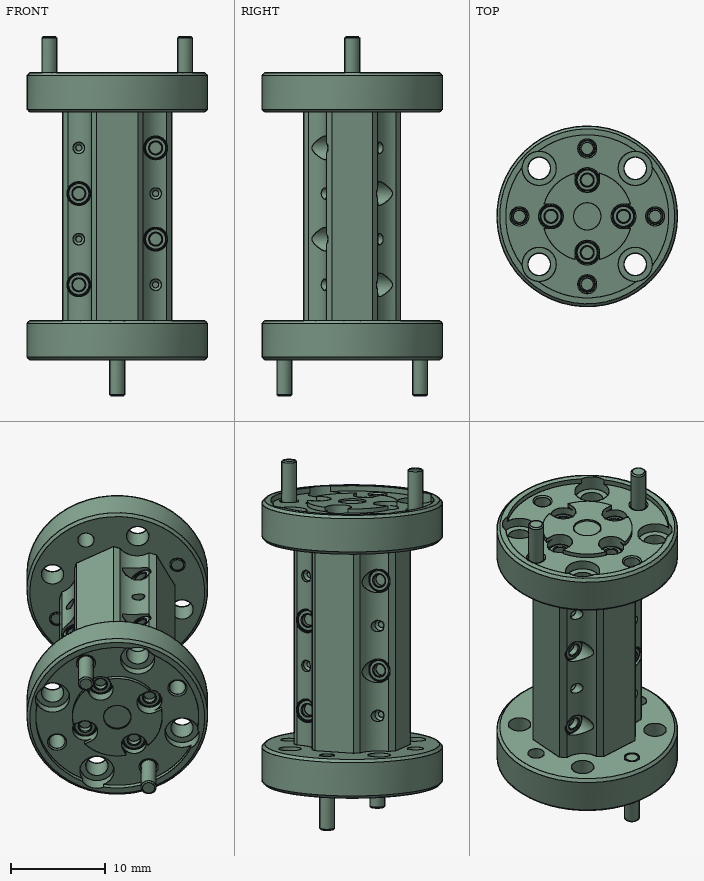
import cadquery as cq
import math

overall_height = 37.85
half_height = overall_height / 2
flange_diameter = 19.05
flange_thickness = 4.15
flange_face_z = 15.15
flange_inner_z = flange_face_z - flange_thickness
flange_chamfer = 0.3

rim_inner_diameter = 17.2
boss_diameter = 9.45
face_recess_depth = 0.55
boss_height = 0.45
aperture_diameter = 2.88
aperture_depth = 0.2

bolt_circle_radius = 7.15
bolt_hole_diameter = 2.35
bolt_counterbore_diameter = 3.6
bolt_counterbore_depth = 1.6

pin_diameter = 1.6
pin_chamfer = 0.15
dowel_hole_diameter = 1.7
dowel_countersink = 0.15

head_diameter = 2.35
head_chamfer = 0.1
head_gap_depth = 0.2
socket_diameter = 1.3
socket_chamfer = 0.095
socket_depth = 0.75

flange_screw_radius = 3.82
flange_screw_head_depth = 1.2
flange_screw_pocket_diameter = 2.6

body_half_x = 5.75
body_half_y = 5.1
side_face_half_width = 2.12
front_face_half_width = 2.2
groove_radius = 2.27
groove_offset = 4.95

clamp_screw_x = 4.05
clamp_screw_pitch = 4.8
clamp_screw_count = 4
clamp_head_y = 2.55
clamp_screw_pocket_diameter = 2.5
clamp_tip_y = 1.9
clamp_tip_hole_diameter = 1.2
clamp_tip_diameter = 0.65

diagonal_offset = bolt_circle_radius / math.sqrt(2)
quarter_turns = [(1, 0), (0, 1), (-1, 0), (0, -1)]
bolt_positions = [(sx * diagonal_offset, sy * diagonal_offset) for sx in (-1, 1) for sy in (-1, 1)]


def disc(diameter, z_top, depth, points=((0, 0),)):
    """Upright cylinders hanging down from z_top."""
    return (
        cq.Workplane("XY", origin=(0, 0, z_top - depth))
        .pushPoints(points)
        .circle(diameter / 2)
        .extrude(depth)
    )


def bevel(hole_diameter, size):
    """45 degree countersink for a vertical hole whose mouth is at z = 0."""
    hole_radius = hole_diameter / 2
    mouth = cq.Workplane("XY").circle(hole_radius + size)
    return mouth.workplane(offset=-size).circle(hole_radius).loft()


def along_z(tool, points, z):
    """Copies of a tool, modelled at the origin, placed at each point."""
    placed = cq.Workplane("XY")
    for x, y in points:
        placed = placed.add(tool.translate((x, y, z)))
    return placed.combine()


def screw_recess(pocket_diameter, pocket_height):
    """Space above and around a screw head; the head top is at z = 0, the axis is Z."""
    pocket = disc(pocket_diameter, pocket_height, pocket_height + head_gap_depth)
    head = disc(head_diameter, 0, head_gap_depth).faces(">Z").chamfer(head_chamfer)
    socket = disc(socket_diameter, 0, socket_depth)
    return pocket.cut(head).union(socket).union(bevel(socket_diameter, socket_chamfer))


def make_flange():
    """Upper flange with its two dowel pins on the X axis."""
    flange = disc(flange_diameter, flange_face_z, flange_thickness)
    flange = flange.faces("<Z or >Z").chamfer(flange_chamfer)

    recess_floor_z = flange_face_z - face_recess_depth
    boss_top_z = recess_floor_z + boss_height
    boss = disc(boss_diameter, boss_top_z, boss_height)
    boss = boss.cut(disc(aperture_diameter, boss_top_z, aperture_depth))

    screw_points = [(flange_screw_radius * x, flange_screw_radius * y) for x, y in quarter_turns]
    notch_width = flange_screw_pocket_diameter
    notch = cq.Workplane("XY", origin=(flange_screw_radius, 0, recess_floor_z))
    notch = notch.rect(boss_diameter / 2, notch_width, centered=(False, True)).extrude(boss_height)
    for quarter in range(len(screw_points)):
        boss = boss.cut(notch.rotate((0, 0, 0), (0, 0, 1), 90 * quarter))
    flange = flange.cut(disc(rim_inner_diameter, flange_face_z, face_recess_depth))
    flange = flange.union(boss)
    screw = screw_recess(flange_screw_pocket_diameter, flange_screw_head_depth)
    flange = flange.cut(along_z(screw, screw_points, flange_face_z - flange_screw_head_depth))

    flange = flange.cut(disc(bolt_hole_diameter, flange_face_z, flange_thickness, bolt_positions))
    flange = flange.cut(
        disc(bolt_counterbore_diameter, flange_face_z, bolt_counterbore_depth, bolt_positions)
    )

    pin_points = [(-bolt_circle_radius, 0), (bolt_circle_radius, 0)]
    hole_points = [(0, -bolt_circle_radius), (0, bolt_circle_radius)]
    flange = flange.cut(disc(dowel_hole_diameter, flange_face_z, flange_thickness, hole_points))
    mouth = bevel(dowel_hole_diameter, dowel_countersink)
    flange = flange.cut(along_z(mouth, pin_points + hole_points, recess_floor_z))
    flange = flange.cut(disc(pin_diameter, flange_face_z, flange_thickness, pin_points))
    pins = disc(pin_diameter, half_height, half_height - flange_inner_z, pin_points)
    pins = pins.faces("<Z or >Z").chamfer(pin_chamfer)
    return flange.union(pins)


def make_body():
    """Eight-sided column with a round bolt clearance groove along each diagonal."""
    groove_wall = groove_offset - groove_radius
    side_flat = groove_wall - side_face_half_width
    front_flat = groove_wall - front_face_half_width
    quarter = [
        (-body_half_x, -side_face_half_width),
        (-body_half_x + side_flat, -groove_wall),
        (-groove_wall, -body_half_y + front_flat),
        (-front_face_half_width, -body_half_y),
    ]
    outline = list(quarter)
    outline += [(-x, y) for x, y in reversed(quarter)]
    outline += [(-x, -y) for x, y in quarter]
    outline += [(x, -y) for x, y in reversed(quarter)]
    body = cq.Workplane("XY").polyline(outline).close().extrude(flange_inner_z, both=True)

    run_out_x = groove_offset + groove_radius / 2
    for side_x in (-1, 1):
        for side_y in (-1, 1):
            groove = cq.Workplane("XY").center(side_x * groove_offset, side_y * groove_offset)
            groove = groove.circle(groove_radius).extrude(flange_inner_z, both=True)
            run_out = cq.Workplane("XY").center(side_x * run_out_x, side_y * groove_offset)
            run_out = run_out.rect(groove_radius, 2 * groove_radius).extrude(flange_inner_z, both=True)
            body = body.cut(groove).cut(run_out)
    return body


def clamp_screw_cut():
    """Head recess toward -Y and tip hole toward +Y of one clamp screw lying on the Y axis."""
    head = screw_recess(clamp_screw_pocket_diameter, body_half_y)
    head = head.rotate((0, 0, 0), (1, 0, 0), 90).translate((0, -clamp_head_y, 0))
    tip_bevel = (clamp_tip_hole_diameter - clamp_tip_diameter) / 2
    tip = cq.Workplane("XZ", origin=(0, body_half_y, 0)).circle(clamp_tip_hole_diameter / 2)
    tip = tip.extrude(body_half_y - clamp_tip_y).faces("<Y").chamfer(tip_bevel)
    return head.union(tip)


def cut_clamp_screws(body):
    """Neighbouring screws point opposite ways, along each column and across the two columns."""
    screw = clamp_screw_cut()
    for column, x in enumerate((-clamp_screw_x, clamp_screw_x)):
        for row in range(clamp_screw_count):
            z = (row - (clamp_screw_count - 1) / 2) * clamp_screw_pitch
            turn = 180 * ((row + column) % 2)
            body = body.cut(screw.rotate((0, 0, 0), (0, 0, 1), turn).translate((x, 0, z)))
    return body


upper_flange = make_flange()
lower_flange = upper_flange.rotate((0, 0, 0), (1, 1, 0), 180)
body = cut_clamp_screws(make_body())
result = body.union(upper_flange).union(lower_flange)